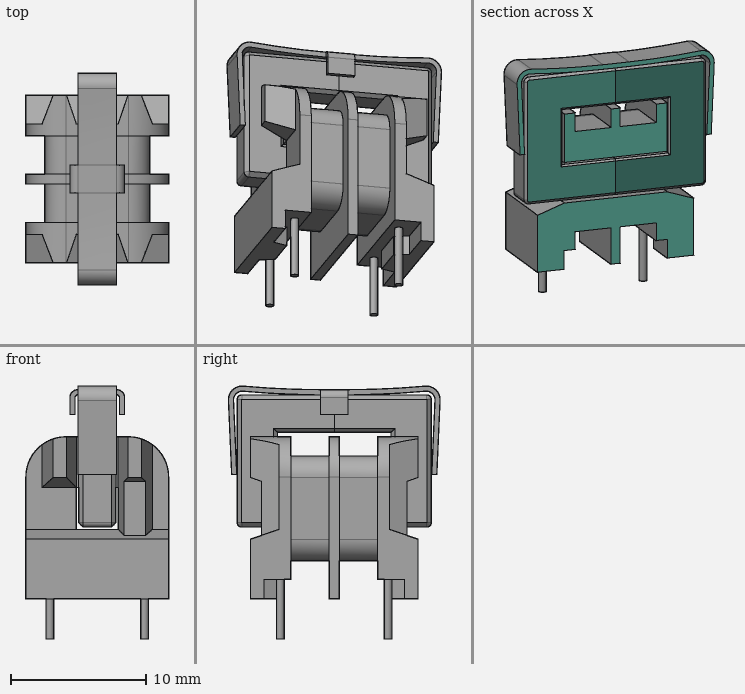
import cadquery as cq
import math


core_width = 2.75
core_length = 14.4
core_height = 9.8
core_bottom = 5.3
core_corner = 0.35
core_chamfer = 0.34
window_length = 8.4
window_height = 4.24
window_chamfer = 0.28

core_top = core_bottom + core_height
core_middle = core_bottom + core_height / 2
leg_height = (core_height - window_height) / 2
axis_height = core_bottom + leg_height / 2

former_width = 10.6
former_length = 12.43
flange_height = 12.02
coil_tube_size = 7.78
coil_tube_corner = 1.6
core_hole_size = 3.1
middle_flange_thickness = 0.75
end_flange_inner = 3.2
end_flange_outer = 4.09
underside_height = 1.45
foot_thickness = 1.01
base_edge_height = 4.42

former_end = former_length / 2
foot_inner = former_end - foot_thickness
hole_half = core_hole_size / 2
hole_bottom = axis_height - hole_half
hole_top = axis_height + hole_half
flat_half_width = coil_tube_size / 2 - coil_tube_corner
flange_corner = former_width / 2 - flat_half_width

horn_outer_x = 4.09
horn_side_taper = 0.82
horn_inner_taper = 0.73
horn_rise = 0.75
post_end = 5.4

block_root_half_width = 2.06
block_tip_half_width = 1.63

pin_diameter = 0.6
pin_length = 2.98
pin_x = 3.5
pin_y = 4.0

clip_width = 2.87
clip_length = 15.7
clip_thickness = 0.4
clip_rise = 0.26
clip_bottom = 9.2
clip_bend_radius = 1.03
clip_leg_tilt = math.radians(2.5)
tab_length = 2.06
tab_bottom = 13.65
tab_bend_radius = 0.6


def flange_plate(bottom, y_start, y_end):
    """Flange with two rounded upper corners, between two positions along Y."""
    height = flange_height - bottom
    return (
        cq.Workplane("XY")
        .box(former_width, y_end - y_start, height, centered=(True, False, False))
        .translate((0, y_start, bottom))
        .edges("|Y and >Z")
        .fillet(flange_corner)
    )


def coil_tube():
    """Rounded square tube that joins the three flanges."""
    return (
        cq.Workplane("XY")
        .box(coil_tube_size, 2 * end_flange_outer, coil_tube_size)
        .edges("|Y")
        .fillet(coil_tube_corner)
        .translate((0, 0, axis_height))
    )


def end_base():
    """Base below an end flange, with a sloping top and a foot at its outer edge."""
    return (
        cq.Workplane("YZ")
        .polyline([
            (end_flange_inner, underside_height),
            (foot_inner, underside_height),
            (foot_inner, 0),
            (former_end, 0),
            (former_end, base_edge_height),
            (end_flange_outer, hole_bottom),
            (end_flange_inner, hole_bottom),
        ])
        .close()
        .extrude(former_width / 2, both=True)
    )


def foot_block():
    """Centre block behind the foot, narrowing towards the flange."""
    return (
        cq.Workplane("XY")
        .polyline([
            (-block_root_half_width, foot_inner),
            (block_root_half_width, foot_inner),
            (block_tip_half_width, end_flange_outer),
            (-block_tip_half_width, end_flange_outer),
        ])
        .close()
        .extrude(underside_height)
    )


def horn_column():
    """Upright column with the tapered plan of a horn, on the +X side."""
    return (
        cq.Workplane("XY")
        .polyline([
            (hole_half, end_flange_outer),
            (horn_outer_x, end_flange_outer),
            (horn_outer_x - horn_side_taper, former_end),
            (hole_half + horn_inner_taper, former_end),
        ])
        .close()
        .extrude(flange_height)
    )


def horn():
    """Horn on the +X side: sloping underside, top following the flange outline."""
    side_outline = (
        cq.Workplane("YZ")
        .polyline([
            (end_flange_outer, hole_top),
            (former_end, hole_top + horn_rise),
            (former_end, flange_height),
            (end_flange_outer, flange_height),
        ])
        .close()
        .extrude(former_width / 2)
    )
    top_outline = flange_plate(underside_height, end_flange_outer, former_end)
    return horn_column().intersect(side_outline).intersect(top_outline)


def horn_post():
    """Post between the base and the horn on the +X side."""
    post_bottom = underside_height
    limits = (
        cq.Workplane("XY")
        .box(former_width, post_end - end_flange_outer, hole_top + horn_rise - post_bottom,
             centered=(True, False, False))
        .translate((0, end_flange_outer, post_bottom))
    )
    return horn_column().intersect(limits)


def end_pins():
    """The two pins of one end."""
    return (
        cq.Workplane("XY", origin=(0, 0, -pin_length))
        .pushPoints([(-pin_x, pin_y), (pin_x, pin_y)])
        .circle(pin_diameter / 2)
        .extrude(pin_length + underside_height)
    )


def former_end_part():
    """Everything at the +Y end of the former."""
    right_horn = horn()
    return (
        flange_plate(underside_height, end_flange_inner, end_flange_outer)
        .union(end_base())
        .union(foot_block())
        .union(right_horn)
        .union(right_horn.mirror("YZ"))
        .union(horn_post())
        .union(end_pins())
    )


def make_coil_former():
    """Tube, three flanges, both ends and the square hole for the core legs."""
    end_part = former_end_part()
    core_hole = (
        cq.Workplane("XY")
        .box(core_hole_size, 2 * end_flange_outer, core_hole_size)
        .translate((0, 0, axis_height))
    )
    return (
        coil_tube()
        .union(flange_plate(0, -middle_flange_thickness / 2, middle_flange_thickness / 2))
        .union(end_part)
        .union(end_part.mirror("XZ"))
        .cut(core_hole)
    )


def make_core_half(side):
    """U-shaped half of the rectangular core ring, on the +Y (1) or -Y (-1) side."""
    block = (
        cq.Workplane("XY")
        .box(core_width, core_length, core_height)
        .edges("|X")
        .fillet(core_corner)
        .faces("<X or >X")
        .chamfer(core_chamfer)
    )
    window = cq.Workplane("XY").box(core_width, window_length, window_height)
    for face_side in (-1, 1):
        rim = (
            cq.Workplane("YZ", origin=(face_side * core_width / 2, 0, 0))
            .rect(window_length + 2 * window_chamfer, window_height + 2 * window_chamfer)
            .workplane(offset=-face_side * window_chamfer)
            .rect(window_length, window_height)
            .loft(ruled=True)
        )
        window = window.union(rim)
    half_space = (
        cq.Workplane("XY")
        .box(core_width, core_length / 2, core_height)
        .translate((0, side * core_length / 4, 0))
    )
    return block.cut(window).intersect(half_space).translate((0, 0, core_middle))


def clip_strap_half():
    """+Y half of the strap: flat middle, gentle rise, bend and inclined leg."""
    flat_end = tab_length / 2
    flat_top = core_top + clip_thickness
    bend_y = clip_length / 2 - clip_bend_radius
    bend_z = flat_top + clip_rise - clip_bend_radius

    run = bend_y - flat_end
    centre_distance = (run ** 2 + clip_rise ** 2) / (2 * clip_rise)
    rise_radius = centre_distance - clip_bend_radius
    rise_angle = math.asin(run / centre_distance)

    def on_rise(depth, angle):
        radius = rise_radius + depth
        return (flat_end + radius * math.sin(angle),
                flat_top + rise_radius - radius * math.cos(angle))

    def on_bend(depth, angle):
        radius = clip_bend_radius - depth
        return (bend_y + radius * math.cos(angle), bend_z + radius * math.sin(angle))

    def leg_end(depth):
        y, z = on_bend(depth, -clip_leg_tilt)
        return (y - (z - clip_bottom) * math.tan(clip_leg_tilt), clip_bottom)

    bend_middle = (math.pi / 2 + rise_angle - clip_leg_tilt) / 2
    inside = clip_thickness
    return (
        cq.Workplane("YZ")
        .moveTo(0, flat_top)
        .lineTo(flat_end, flat_top)
        .threePointArc(on_rise(0, rise_angle / 2), on_rise(0, rise_angle))
        .threePointArc(on_bend(0, bend_middle), on_bend(0, -clip_leg_tilt))
        .lineTo(*leg_end(0))
        .lineTo(*leg_end(inside))
        .lineTo(*on_bend(inside, -clip_leg_tilt))
        .threePointArc(on_bend(inside, bend_middle), on_rise(inside, rise_angle))
        .threePointArc(on_rise(inside, rise_angle / 2), on_rise(inside, 0))
        .lineTo(0, flat_top - inside)
        .close()
        .extrude(clip_width / 2, both=True)
    )


def clip_tab():
    """Tab on the +X side of the strap, bent down beside the core."""
    edge_x = clip_width / 2
    flat_top = core_top + clip_thickness
    bend_z = flat_top - tab_bend_radius
    inner_radius = tab_bend_radius - clip_thickness
    diagonal = math.sqrt(0.5)
    return (
        cq.Workplane("XZ")
        .moveTo(edge_x, flat_top)
        .threePointArc(
            (edge_x + tab_bend_radius * diagonal, bend_z + tab_bend_radius * diagonal),
            (edge_x + tab_bend_radius, bend_z))
        .lineTo(edge_x + tab_bend_radius, tab_bottom)
        .lineTo(edge_x + inner_radius, tab_bottom)
        .lineTo(edge_x + inner_radius, bend_z)
        .threePointArc(
            (edge_x + inner_radius * diagonal, bend_z + inner_radius * diagonal),
            (edge_x, bend_z + inner_radius))
        .close()
        .extrude(tab_length / 2, both=True)
    )


def make_clip():
    """Spring clip: strap over the core with a tab on each side."""
    strap_half = clip_strap_half()
    tab = clip_tab()
    return (
        strap_half
        .union(strap_half.mirror("XZ"))
        .union(tab)
        .union(tab.mirror("YZ"))
    )


coil_former = make_coil_former()
core_halves = [make_core_half(side) for side in (-1, 1)]
clip = make_clip()

result = cq.Compound.makeCompound([
    coil_former.solids().val(),
    *[half.solids().val() for half in core_halves],
    clip.solids().val(),
])